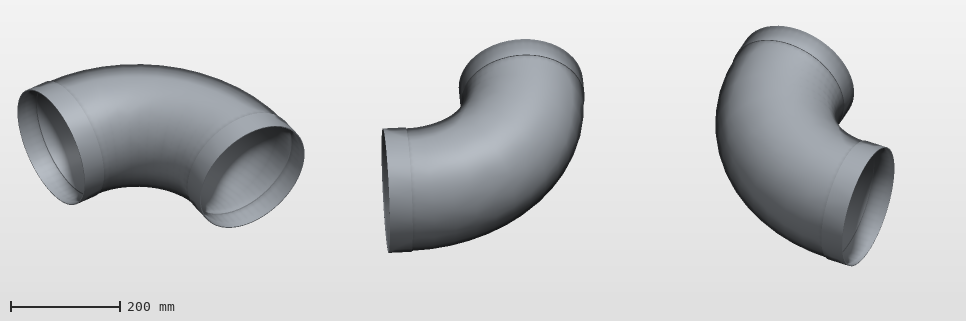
import cadquery as cq
import math

COLLAR_OUTER_DIAMETER = 228.6
BEND_OUTER_DIAMETER = 225.0
WALL = 1.8
OVERALL_LENGTH = 381.1
BEND_RADIUS = 225.0
BEND_ANGLE = 90.0
SHOULDER_ANGLE = 30.0

collar_outer_radius = COLLAR_OUTER_DIAMETER / 2
collar_inner_radius = collar_outer_radius - WALL
bend_outer_radius = BEND_OUTER_DIAMETER / 2
bend_inner_radius = bend_outer_radius - WALL
collar_length = OVERALL_LENGTH - BEND_RADIUS - collar_outer_radius

shoulder_start = WALL * math.tan(math.radians(SHOULDER_ANGLE))
shoulder_length = (collar_inner_radius - bend_inner_radius) * math.tan(math.radians(SHOULDER_ANGLE))
shoulder_end = shoulder_start + shoulder_length

lower_end = cq.Plane(origin=(-BEND_RADIUS, 0, 0), xDir=(1, 0, 0), normal=(0, -1, 0))

lower_section = cq.Plane(origin=(-BEND_RADIUS, 0, 0), xDir=(1, 0, 0), normal=(0, 0, -1))
upper_section = cq.Plane(origin=(0, BEND_RADIUS, 0), xDir=(0, 1, 0), normal=(0, 0, -1))


def make_bend():
    """Hollow torus segment between the two end planes."""
    return (
        cq.Workplane(lower_end)
        .circle(bend_outer_radius)
        .circle(bend_inner_radius)
        .revolve(BEND_ANGLE, (BEND_RADIUS, 0), (BEND_RADIUS, -1))
    )


def make_collar(section_plane):
    """Straight collar with a conical inner shoulder, turned about its tube axis."""
    profile = [
        (bend_inner_radius, 0),
        (collar_outer_radius, 0),
        (collar_outer_radius, collar_length),
        (collar_inner_radius, collar_length),
        (collar_inner_radius, shoulder_end),
        (bend_inner_radius, shoulder_start),
    ]
    return cq.Workplane(section_plane).polyline(profile).close().revolve(360, (0, 0), (0, 1))


result = make_bend()
for section_plane in (lower_section, upper_section):
    result = result.union(make_collar(section_plane))